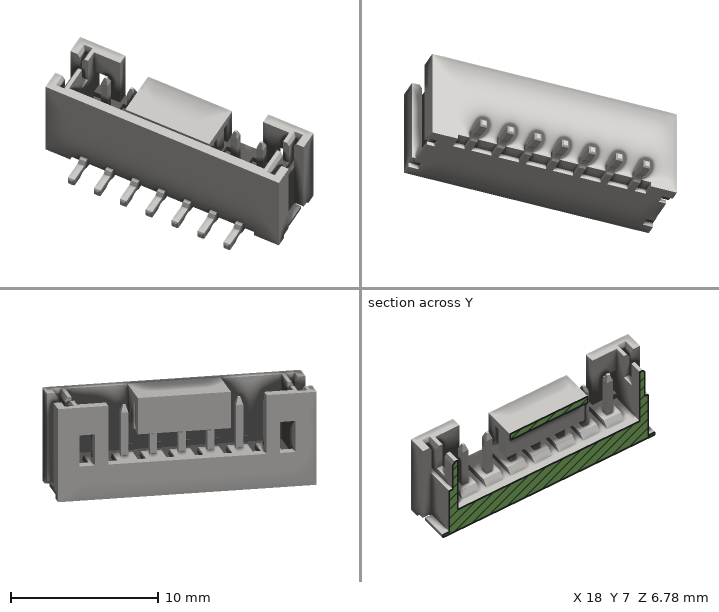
import cadquery as cq


LENGTH = 18.0
DEPTH = 5.0
HEIGHT = 6.65
CAVITY_LENGTH = 15.05
FRONT_WALL = 0.65
BACK_WALL = 0.75
FLOOR_Z = 2.0
WINDOW_LENGTH = 11.02
PAD_Z = 2.45
SIDE_OPENING_X = 6.45
SIDE_OPENING_TOP = 4.66

PIN_COUNT = 7
PITCH = 2.0
PIN_X = 0.5
PIN_FRONT = 2.85
PIN_BACK = 3.37
PIN_TOP = 6.05
PIN_TIP_HEIGHT = 0.5
PIN_TIP_SIZE = 0.18
LAST_PIN_DROP = 0.05

TAIL_LENGTH = 2.0
TAIL_HIGH = 0.83
TAIL_LOW = 0.6
TAIL_HIGH_END = 0.27
TAIL_SLOPE_END = 0.5
TAIL_INSET = 0.92
TAIL_END_CHAMFER = 0.1
ARCH_START = 0.13
ARCH_END = 1.05
ARCH_RISE = 0.18

PAD_WIDTH = 1.42
PAD_FRONT = 2.55
PAD_SLOPE = 0.4
RIB_WIDTH = 0.3
RIB_DEPTH = 0.18

RECESS_FRONT = 1.42
RECESS_BACK = 3.58
SLOT_OUTER = 8.26
SLOT_INNER = 7.97
SLOT_FRONT = 0.67
SLOT_BACK = 4.34
SLOT_BOTTOM = 4.14
FUNNEL_FLARE = 0.18
FUNNEL_HEIGHT = 0.29
NOTCH_FRONT = 2.5
NOTCH_BACK = 3.38
NOTCH_BOTTOM = 4.63

NAIL_FOOT_X = 8.8
NAIL_FOOT_THICKNESS = 0.27
STAND_OFF = 0.35
STAND_OFF_HALF_LENGTH = 7.1
STAND_OFF_END_FRONT = 0.75
STAND_OFF_END_BACK = 4.25

CAP_LENGTH = 6.48
CAP_FRONT = 0.74
CAP_BACK = 4.03
CAP_BOTTOM = 4.14
CAP_TOP = 6.73
CAP_SLOT_TOP = 6.1


def block(x0, x1, y0, y1, z0, z1):
    """Box between two opposite corners."""
    return cq.Workplane("XY").box(x1 - x0, y1 - y0, z1 - z0, centered=False).translate((x0, y0, z0))


def centred_block(length, y0, y1, z0, z1, x=0.0):
    """Box centred on x along the row of pins."""
    return block(x - length / 2, x + length / 2, y0, y1, z0, z1)


def mirrored(left):
    """A left-hand feature together with its right-hand twin."""
    return left.union(left.mirror("YZ"))


def row(count):
    """Positions of evenly pitched features centred on the part."""
    return [(i - (count - 1) / 2) * PITCH for i in range(count)]


def side_profile(middle_x, width):
    """Sketch plane seen from the end of the part, with Y across and Z up, for extruding by width."""
    return cq.Workplane("YZ", origin=(middle_x - width / 2, 0, 0))


def shell():
    """Housing with its cavity and the low stretch of back wall."""
    body = centred_block(LENGTH, 0, DEPTH, 0, HEIGHT)
    cavity = centred_block(CAVITY_LENGTH, FRONT_WALL, DEPTH - BACK_WALL, FLOOR_Z, HEIGHT)
    window = centred_block(WINDOW_LENGTH, DEPTH - BACK_WALL, DEPTH, PAD_Z, HEIGHT)
    return body.cut(cavity).cut(window)


def side_opening():
    """Left-hand opening through the back wall, beside the end wall."""
    cavity_end = -CAVITY_LENGTH / 2
    return block(cavity_end, -SIDE_OPENING_X, DEPTH - BACK_WALL, DEPTH, PAD_Z, SIDE_OPENING_TOP)


def pad(x):
    """Raised pad around a pin, sloping down to the cavity floor."""
    cavity_back = DEPTH - BACK_WALL
    return (
        side_profile(x, PAD_WIDTH)
        .moveTo(cavity_back, FLOOR_Z)
        .lineTo(cavity_back, PAD_Z)
        .lineTo(PAD_FRONT, PAD_Z)
        .lineTo(PAD_FRONT - PAD_SLOPE, FLOOR_Z)
        .close()
        .extrude(PAD_WIDTH)
    )


def rib(x):
    """Low rib on the inside of the front wall."""
    return centred_block(RIB_WIDTH, FRONT_WALL, FRONT_WALL + RIB_DEPTH, FLOOR_Z, PAD_Z, x)


def nail_slot():
    """Left-hand nail slot with a mouth that widens towards the top."""
    width = SLOT_OUTER - SLOT_INNER
    length = SLOT_BACK - SLOT_FRONT
    throat_z = HEIGHT - FUNNEL_HEIGHT
    centre_x = -(SLOT_OUTER + SLOT_INNER) / 2
    centre_y = (SLOT_FRONT + SLOT_BACK) / 2
    straight = block(-SLOT_OUTER, -SLOT_INNER, SLOT_FRONT, SLOT_BACK, SLOT_BOTTOM, HEIGHT)
    funnel = (
        cq.Workplane("XY", origin=(centre_x, centre_y, throat_z))
        .rect(width, length)
        .workplane(offset=FUNNEL_HEIGHT)
        .rect(width + 2 * FUNNEL_FLARE, length + 2 * FUNNEL_FLARE)
        .loft(ruled=True)
    )
    return straight.union(funnel)


def end_cuts():
    """Left-hand recess, nail slot, inner notch and stand-off notch."""
    edge = LENGTH / 2
    recess = block(-edge, -SLOT_OUTER, RECESS_FRONT, RECESS_BACK, 0, HEIGHT)
    notch = block(-SLOT_OUTER, -CAVITY_LENGTH / 2, NOTCH_FRONT, NOTCH_BACK, NOTCH_BOTTOM, HEIGHT)
    stand_off = block(-edge, -SLOT_OUTER, STAND_OFF_END_FRONT, STAND_OFF_END_BACK, 0, STAND_OFF)
    return recess.union(nail_slot()).union(notch).union(stand_off)


def nail_foot():
    """Left-hand nail foot, lying in the bottom of the recess."""
    return block(-NAIL_FOOT_X, -SLOT_OUTER, RECESS_FRONT, RECESS_BACK, 0, NAIL_FOOT_THICKNESS)


def pin_post(x):
    """Upright part of a pin, with a tapered tip."""
    depth = PIN_BACK - PIN_FRONT
    shoulder_z = PIN_TOP - PIN_TIP_HEIGHT
    post = centred_block(PIN_X, PIN_FRONT, PIN_BACK, STAND_OFF, shoulder_z, x)
    tip = (
        cq.Workplane("XY", origin=(x, (PIN_FRONT + PIN_BACK) / 2, shoulder_z))
        .rect(PIN_X, depth)
        .workplane(offset=PIN_TIP_HEIGHT)
        .rect(PIN_TIP_SIZE, PIN_TIP_SIZE)
        .loft(ruled=True)
    )
    return post.union(tip)


def pin_tail(x):
    """Solder tail that steps down outside the housing and arches underneath."""
    arch_middle = (ARCH_START + ARCH_END) / 2
    tail = (
        side_profile(x, PIN_X)
        .moveTo(TAIL_INSET, 0)
        .lineTo(TAIL_INSET, TAIL_HIGH)
        .lineTo(-TAIL_HIGH_END, TAIL_HIGH)
        .lineTo(-TAIL_SLOPE_END, TAIL_LOW)
        .lineTo(-TAIL_LENGTH, TAIL_LOW)
        .lineTo(-TAIL_LENGTH, 0)
        .lineTo(-ARCH_END, 0)
        .threePointArc((-arch_middle, ARCH_RISE), (-ARCH_START, 0))
        .close()
        .extrude(PIN_X)
    )
    return tail.faces("<Y").chamfer(TAIL_END_CHAMFER)


def pin(x):
    """Complete pin at its seated height."""
    return pin_post(x).union(pin_tail(x))


def cap():
    """Pick-up cap with two slots along its underside; the rear slot grips the pins."""
    slot_width = PIN_BACK - PIN_FRONT
    front_slot = CAP_FRONT + CAP_BACK - PIN_BACK
    body = centred_block(CAP_LENGTH, CAP_FRONT, CAP_BACK, CAP_BOTTOM, CAP_TOP)
    for slot_front in (PIN_FRONT, front_slot):
        slot = centred_block(CAP_LENGTH, slot_front, slot_front + slot_width, CAP_BOTTOM, CAP_SLOT_TOP)
        body = body.cut(slot)
    return body


result = shell().cut(mirrored(side_opening()))
for pad_x in row(PIN_COUNT):
    result = result.union(pad(pad_x))
for rib_x in row(PIN_COUNT - 1):
    result = result.union(rib(rib_x))

result = result.cut(centred_block(2 * STAND_OFF_HALF_LENGTH, 0, TAIL_INSET, 0, STAND_OFF))
result = result.cut(mirrored(end_cuts()))
result = result.union(mirrored(nail_foot()))

pin_places = row(PIN_COUNT)
for pin_x in pin_places[:-1]:
    result = result.union(pin(pin_x))
result = result.union(pin(pin_places[-1]).translate((0, 0, -LAST_PIN_DROP)))
result = result.union(cap())